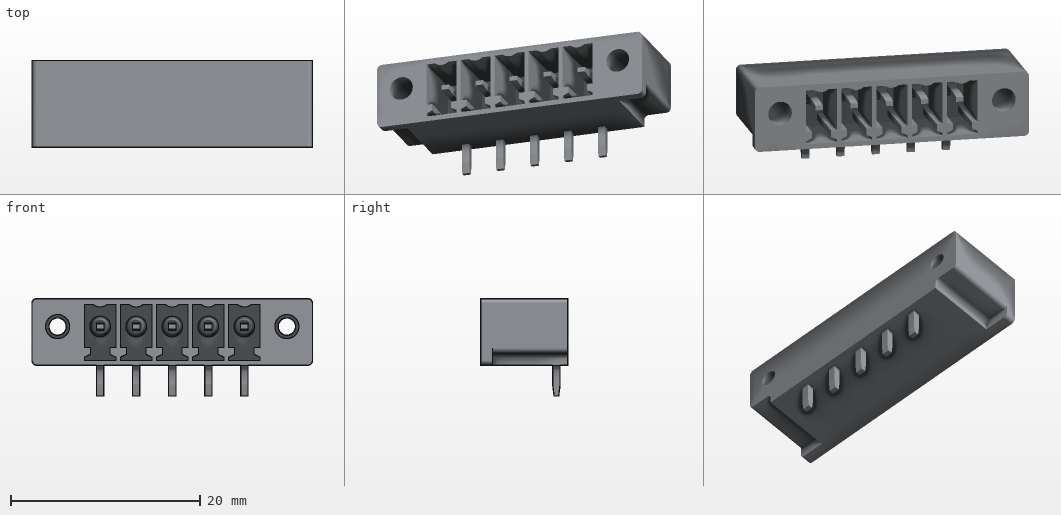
import cadquery as cq


LENGTH = 29.65
DEPTH = 9.2
HEIGHT = 7.05
CORNER_RADIUS = 0.5
FLANGE_THICKNESS = 1.25
UNDERCUT_HEIGHT = 1.78
UNDERCUT_WIDTH = 2.95

CONTACT_COUNT = 5
CONTACT_ROW_SPAN = 15.23
CONTACT_PITCH = CONTACT_ROW_SPAN / (CONTACT_COUNT - 1)
CONTACT_XS = [i * CONTACT_PITCH - CONTACT_ROW_SPAN / 2 for i in range(CONTACT_COUNT)]
AXIS_Z = HEIGHT - 2.95

PIN_SIZE = 0.8
PIN_TIP_Y = 1.2
PIN_TAIL_LENGTH = 3.25
PIN_REAR_GAP = 0.8
PIN_TAPER_LENGTH = 1.2
PIN_TIP_THICKNESS = 0.5

POCKET_WIDTH = 3.32
POCKET_FLOOR_Z = 0.53
POCKET_TOP_Z = HEIGHT - 0.62
POCKET_BACK_WALL = PIN_SIZE
POCKET_DEPTH = DEPTH - PIN_REAR_GAP - PIN_SIZE - POCKET_BACK_WALL
RAIL_WIDTH = 0.62
RAIL_TOP_Z = 1.87
RAIL_EDGE_Z = 1.15
RAIL_ROOT_Z = 0.85
RIB_WIDTH = 1.48
RIB_DROP = 0.27

BOSS_BASE_DIAMETER = 2.2
BOSS_SHOULDER_DIAMETER = 1.72
BOSS_TOP_DIAMETER = 1.3
BOSS_CONE_LENGTH = 0.75
BOSS_RIM_RADIUS = (BOSS_SHOULDER_DIAMETER - BOSS_TOP_DIAMETER) / 2

MOUNT_SPACING = 24.22
MOUNT_HOLE_DIAMETER = 1.8
MOUNT_BORE_DIAMETER = 2.55
MOUNT_BORE_DEPTH = POCKET_DEPTH


def extrude_back(sketch, length):
    """Extrude a front-facing sketch toward the rear (+Y)."""
    return sketch.extrude(-length)


def front_plane(y=0.0):
    """XZ plane at the given distance behind the mating face."""
    return cq.Workplane("XZ", origin=(0, y, 0))


def make_block():
    """Plain block with its four lengthwise edges rounded."""
    block = extrude_back(front_plane().rect(LENGTH, HEIGHT), DEPTH)
    return block.edges("|Y").fillet(CORNER_RADIUS).translate((0, 0, HEIGHT / 2))


def make_undercut():
    """Left-hand step: a rounded edge, a flat and a concave round, behind the front plate."""
    r = CORNER_RADIUS
    side = -LENGTH / 2
    inner = side + UNDERCUT_WIDTH
    top = UNDERCUT_HEIGHT
    sketch = (
        front_plane(FLANGE_THICKNESS)
        .moveTo(side, top)
        .radiusArc((side + r, top - r), -r)
        .lineTo(inner - r, top - r)
        .radiusArc((inner, top - 2 * r), r)
        .lineTo(inner, 0)
        .lineTo(side, 0)
        .close()
    )
    return extrude_back(sketch, DEPTH - FLANGE_THICKNESS)


def make_pocket(x):
    """Contact pocket with a rounded rib in its roof and two guide rails above its floor."""
    half = POCKET_WIDTH / 2
    throat = half - RAIL_WIDTH
    sketch = (
        front_plane()
        .moveTo(-half, POCKET_FLOOR_Z)
        .lineTo(-half, RAIL_ROOT_Z)
        .lineTo(-throat, RAIL_EDGE_Z)
        .lineTo(-throat, RAIL_TOP_Z)
        .lineTo(-half, RAIL_TOP_Z)
        .lineTo(-half, POCKET_TOP_Z)
        .lineTo(-RIB_WIDTH / 2, POCKET_TOP_Z)
        .threePointArc((0, POCKET_TOP_Z - RIB_DROP), (RIB_WIDTH / 2, POCKET_TOP_Z))
        .lineTo(half, POCKET_TOP_Z)
        .lineTo(half, RAIL_TOP_Z)
        .lineTo(throat, RAIL_TOP_Z)
        .lineTo(throat, RAIL_EDGE_Z)
        .lineTo(half, RAIL_ROOT_Z)
        .lineTo(half, POCKET_FLOOR_Z)
        .close()
    )
    return extrude_back(sketch, POCKET_DEPTH).translate((x, 0, 0))


def make_boss(x):
    """Tapered boss with a rounded rim, standing forward from the back of a pocket."""
    base_y = POCKET_DEPTH
    shoulder_y = base_y - BOSS_CONE_LENGTH
    top_y = shoulder_y - BOSS_RIM_RADIUS
    half_profile = (
        cq.Workplane("XY")
        .moveTo(0, base_y)
        .lineTo(BOSS_BASE_DIAMETER / 2, base_y)
        .lineTo(BOSS_SHOULDER_DIAMETER / 2, shoulder_y)
        .radiusArc((BOSS_TOP_DIAMETER / 2, top_y), BOSS_RIM_RADIUS)
        .lineTo(0, top_y)
        .close()
    )
    return half_profile.revolve(360, (0, 0, 0), (0, 1, 0)).translate((x, 0, AXIS_Z))


def make_mount_hole(x):
    """Through hole with a wider bore from the front."""
    hole = extrude_back(front_plane().circle(MOUNT_HOLE_DIAMETER / 2), DEPTH)
    bore = extrude_back(front_plane().circle(MOUNT_BORE_DIAMETER / 2), MOUNT_BORE_DEPTH)
    return hole.union(bore).translate((x, 0, AXIS_Z))


def make_pin(x):
    """Right-angle square pin, thinned at the mating tip and at the tail tip."""
    half = PIN_SIZE / 2
    half_tip = PIN_TIP_THICKNESS / 2
    rear_y = DEPTH - PIN_REAR_GAP
    leg_y = rear_y - half
    tail_z = -PIN_TAIL_LENGTH
    side_profile = (
        cq.Workplane("YZ")
        .moveTo(PIN_TIP_Y, AXIS_Z + half_tip)
        .lineTo(PIN_TIP_Y + PIN_TAPER_LENGTH, AXIS_Z + half)
        .lineTo(rear_y, AXIS_Z + half)
        .lineTo(rear_y, tail_z + PIN_TAPER_LENGTH)
        .lineTo(leg_y + half_tip, tail_z)
        .lineTo(leg_y - half_tip, tail_z)
        .lineTo(leg_y - half, tail_z + PIN_TAPER_LENGTH)
        .lineTo(leg_y - half, AXIS_Z - half)
        .lineTo(PIN_TIP_Y + PIN_TAPER_LENGTH, AXIS_Z - half)
        .lineTo(PIN_TIP_Y, AXIS_Z - half_tip)
        .close()
    )
    return side_profile.extrude(half, both=True).translate((x, 0, 0))


def make_housing(pins):
    """One-piece housing with a fitting channel for every pin."""
    undercut = make_undercut()
    housing = make_block().cut(undercut).cut(undercut.mirror("YZ"))
    for x in (-MOUNT_SPACING / 2, MOUNT_SPACING / 2):
        housing = housing.cut(make_mount_hole(x))
    for x, pin in zip(CONTACT_XS, pins):
        housing = housing.cut(make_pocket(x)).union(make_boss(x)).cut(pin)
    return housing


pins = [make_pin(x) for x in CONTACT_XS]
housing = make_housing(pins)

result = cq.Compound.makeCompound([housing.val(), *[pin.val() for pin in pins]])